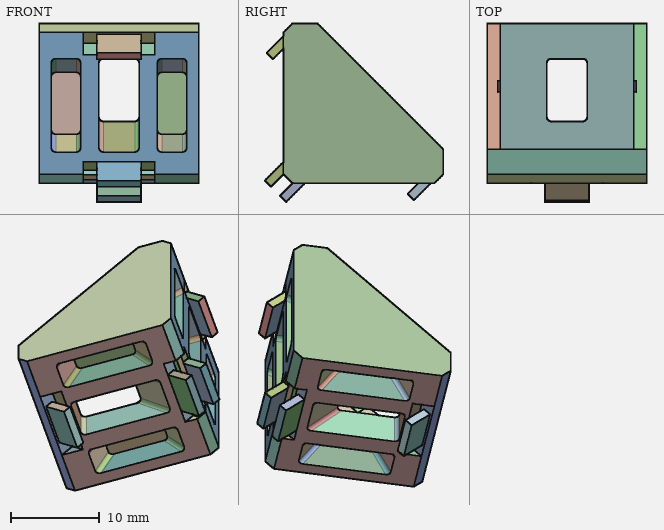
import cadquery as cq
import math


BODY_SIZE = 18.0
FLANGE_THICKNESS = 3.85
CHAMFER = 1.0
WALL_THICKNESS = 1.5
POCKET_WIDTH = BODY_SIZE - 2 * WALL_THICKNESS

OPENING_START = 3.52
OPENING_END = 14.05
OPENING_RADIUS = 0.5
WINDOW_WIDTH = 4.53
WINDOW_INNER_START = 6.98
SLOT_WIDTH = 3.32
SLOT_OFFSET = 5.98
SLOT_FLOOR_THICKNESS = 0.5
SLOT_DEPTH = FLANGE_THICKNESS - SLOT_FLOOR_THICKNESS
SLOT_FLOOR_START = 5.53
SLOT_FLOOR_END = 12.5

RECESS_WIDTH = 8.09
END_RECESS_LENGTH = 2.5
END_RECESS_TOP = BODY_SIZE - CHAMFER
CORNER_RECESS_START = 2.41
CORNER_RECESS_DEPTH = 0.95
CORNER_RECESS_STEP = 0.52

TAB_WIDTH = 5.0
TAB_THICKNESS = 1.0
TAB_FACE_LENGTH = TAB_THICKNESS * math.sqrt(2)
END_TAB_INSET = 1.4
END_TAB_TOP = BODY_SIZE - END_TAB_INSET
END_TAB_REACH = 1.91
CORNER_TAB_TOP = CORNER_RECESS_START
CORNER_TAB_REACH = 2.11

CATCH_LENGTH = 1.71
CATCH_DEPTH = CATCH_LENGTH
CATCH_INSET = 0.32


def prism(points, width):
    """Extrude a (Y, Z) outline along X, centred on X = 0."""
    return cq.Workplane("YZ").polyline(points).close().extrude(width / 2, both=True)


def on_both_flanges(feature):
    """Add the copy of a front-flange feature that belongs to the bottom flange."""
    return feature.union(feature.mirror(cq.Vector(0, 1, -1)))


def make_body():
    outline = [
        (CHAMFER, 0),
        (BODY_SIZE - CHAMFER, 0),
        (BODY_SIZE, CHAMFER),
        (BODY_SIZE, FLANGE_THICKNESS),
        (FLANGE_THICKNESS, BODY_SIZE),
        (CHAMFER, BODY_SIZE),
        (0, BODY_SIZE - CHAMFER),
        (0, CHAMFER),
    ]
    pocket = cq.Workplane("XY").box(POCKET_WIDTH, BODY_SIZE, BODY_SIZE, centered=(True, False, False))
    return prism(outline, BODY_SIZE).cut(pocket.translate((0, FLANGE_THICKNESS, FLANGE_THICKNESS)))


def tapered_opening(x, width, depth, inner_start, inner_end):
    """Rounded opening in the front flange, tapering in Z from its mouth to the given depth."""

    def section(start, end):
        rounded = cq.Sketch().rect(width, end - start).vertices().fillet(OPENING_RADIUS)
        return rounded.moved(cq.Location(cq.Vector(x, (start + end) / 2, 0)))

    mouth = section(OPENING_START, OPENING_END)
    inner = section(inner_start, inner_end).moved(cq.Location(cq.Vector(0, 0, -depth)))
    return cq.Workplane("XZ").placeSketch(mouth, inner).loft(ruled=True)


def make_openings():
    openings = tapered_opening(0, WINDOW_WIDTH, FLANGE_THICKNESS, WINDOW_INNER_START, OPENING_END)
    for x in (-SLOT_OFFSET, SLOT_OFFSET):
        slot = tapered_opening(x, SLOT_WIDTH, SLOT_DEPTH, SLOT_FLOOR_START, SLOT_FLOOR_END)
        openings = openings.union(slot)
    return openings


def make_recesses():
    end_depth = END_RECESS_LENGTH / 2
    end_recess = prism(
        [
            (0, END_RECESS_TOP),
            (end_depth, END_RECESS_TOP - end_depth),
            (0, END_RECESS_TOP - END_RECESS_LENGTH),
        ],
        RECESS_WIDTH,
    )
    root_height = CORNER_RECESS_START - CORNER_RECESS_DEPTH
    step_depth = CORNER_RECESS_DEPTH - CORNER_RECESS_STEP
    step_height = root_height - CORNER_RECESS_STEP
    diagonal = (step_depth + step_height) / 2
    corner_recess = prism(
        [
            (0, CORNER_RECESS_START),
            (CORNER_RECESS_DEPTH, root_height),
            (step_depth, step_height),
            (diagonal, diagonal),
            (0, 0),
        ],
        RECESS_WIDTH,
    )
    return end_recess.union(corner_recess)


def tab(top, reach, recess_top):
    """Tab sloping down at 45 degrees from the upper face of its recess; top is its height at Y = 0."""
    root = (recess_top - top) / 2
    half = TAB_FACE_LENGTH / 2
    return prism(
        [
            (root, top + root),
            (-reach, top - reach),
            (half - reach, top - reach - half),
            (root + half, top + root - half),
        ],
        TAB_WIDTH,
    )


def make_tabs():
    end_tab = tab(END_TAB_TOP, END_TAB_REACH, END_RECESS_TOP)
    corner_tab = tab(CORNER_TAB_TOP, CORNER_TAB_REACH, CORNER_RECESS_START)
    return end_tab.union(corner_tab)


def make_catches():
    """Bar across the pocket, square to the slope, that notches both side walls."""
    slope_middle = (BODY_SIZE + FLANGE_THICKNESS) / 2
    width = POCKET_WIDTH + 2 * CATCH_INSET
    bar = cq.Workplane("XY").box(width, CATCH_LENGTH, 2 * CATCH_DEPTH)
    return bar.rotate((0, 0, 0), (1, 0, 0), -45).translate((0, slope_middle, slope_middle))


result = (
    make_body()
    .cut(make_catches())
    .cut(on_both_flanges(make_openings()))
    .cut(on_both_flanges(make_recesses()))
    .union(on_both_flanges(make_tabs()))
)